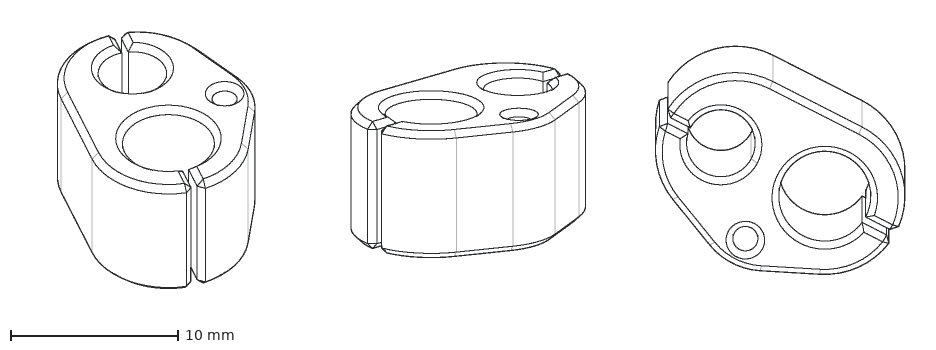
import cadquery as cq
import math

height = 8.0
end_radius = 4.8
end_spacing = 6.01
end_x = end_spacing / 2
half_length = end_x + end_radius
crown_radius = 4.2
crown_center_y = 2.0
chamfer = 0.4

small_bore_x = -4.0
small_bore_diameter = 4.1
large_bore_x = end_x
large_bore_diameter = 5.5
pin_hole_y = 4.5
pin_hole_diameter = 1.5

slot_width = 0.39


def point_on_arc(center_x, center_y, radius, angle):
    """Point on a circle, with the angle measured from +Y toward +X."""
    return (center_x + radius * math.sin(angle), center_y + radius * math.cos(angle))


def mirrored(point):
    return (-point[0], point[1])


def make_body():
    center_distance = math.hypot(end_x, crown_center_y)
    flank_angle = math.acos((end_radius - crown_radius) / center_distance)
    flank_angle -= math.atan2(end_x, crown_center_y)
    crown_tangent = point_on_arc(0, crown_center_y, crown_radius, flank_angle)
    end_tangent = point_on_arc(end_x, 0, end_radius, flank_angle)
    end_middle = (half_length, 0)
    base_corner = (end_x, -end_radius)
    return (
        cq.Workplane("XY")
        .moveTo(*mirrored(base_corner))
        .lineTo(*base_corner)
        .threePointArc(end_middle, end_tangent)
        .lineTo(*crown_tangent)
        .threePointArc((0, crown_center_y + crown_radius), mirrored(crown_tangent))
        .lineTo(*mirrored(end_tangent))
        .threePointArc(mirrored(end_middle), mirrored(base_corner))
        .close()
        .extrude(height)
    )


def make_bore(x, y, diameter):
    return cq.Workplane("XY").center(x, y).circle(diameter / 2).extrude(height)


def make_slot(bore_x, direction):
    """Slot from a bore center out through the side in the given X direction."""
    return (
        cq.Workplane("XY")
        .center(bore_x + direction * half_length / 2, slot_width / 2)
        .rect(half_length, slot_width)
        .extrude(height)
    )


body = make_body()
body = body.cut(make_bore(small_bore_x, 0, small_bore_diameter))
body = body.cut(make_bore(large_bore_x, 0, large_bore_diameter))
body = body.cut(make_bore(0, pin_hole_y, pin_hole_diameter))
body = body.cut(make_slot(small_bore_x, -1))
body = body.cut(make_slot(large_bore_x, 1))

mouth_margin = 0.15
mouth_edges = cq.selectors.BoxSelector(
    (large_bore_x + large_bore_diameter / 2 + mouth_margin, -mouth_margin, 0),
    (half_length + mouth_margin, slot_width + mouth_margin, height),
) + cq.selectors.BoxSelector(
    (-half_length - mouth_margin, -mouth_margin, 0),
    (small_bore_x - small_bore_diameter / 2 - mouth_margin, slot_width + mouth_margin, height),
)

rim_edges = body.faces("|Z").edges()
result = rim_edges.add(body.edges("|Z").edges(mouth_edges)).chamfer(chamfer)